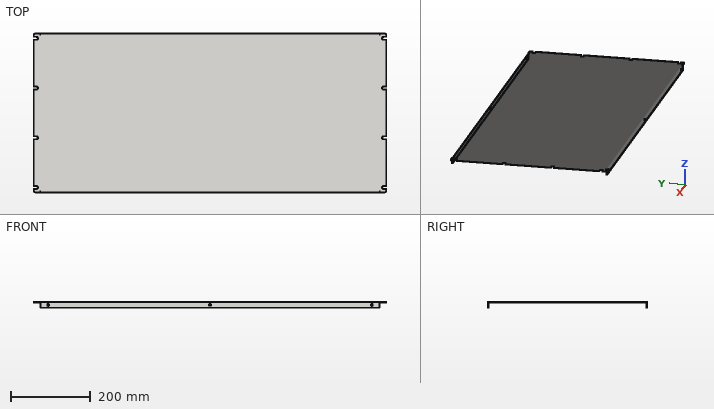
import cadquery as cq

length = 886.5
width = 400.0
height = 15.0
thickness = 1.5

flange_inset = 17.0
flange_length = length - 2 * flange_inset
flange_corner_radius = 3.0
bend_inner_radius = 1.5
bend_outer_radius = bend_inner_radius + thickness
panel_corner_radius = 5.0

slot_width = 7.0
slot_depth = 11.0
slot_pitch = 125.0
slots_per_side = 4

hole_diameter = 4.2
hole_end_offset = 19.5
hole_span = flange_length / 2 - hole_end_offset


def make_panel():
    """Flat sheet with rounded corners; its top face lies at Z = 0."""
    sheet = cq.Workplane("XY").box(length, width, thickness, centered=(True, True, False))
    return sheet.translate((0, 0, -thickness)).edges("|Z").fillet(panel_corner_radius)


def make_channel():
    """Sheet folded down along both long edges, with rounded bends and flange corners."""
    outer = cq.Workplane("XY").box(flange_length, width, height, centered=(True, True, False))
    outer = outer.translate((0, 0, -height))
    outer = outer.edges("|X and >Z").fillet(bend_outer_radius)
    outer = outer.edges("|Y and <Z").fillet(flange_corner_radius)
    inner = cq.Workplane("XY").box(
        length, width - 2 * thickness, height, centered=(True, True, False)
    )
    inner = inner.translate((0, 0, -height - thickness))
    inner = inner.edges("|X and >Z").fillet(bend_inner_radius)
    return outer.cut(inner)


def make_bend_clearance():
    """Two strips over the folded length, from the bend lines out to the long edges."""
    return cq.Workplane("XY").box(flange_length, width, 2 * height).cut(
        cq.Workplane("XY").box(flange_length, width - 2 * bend_outer_radius, 2 * height)
    )


def make_slots():
    """Round-ended cutters entering from both short edges."""
    first_y = -slot_pitch * (slots_per_side - 1) / 2
    centers = [
        (side * length / 2, first_y + row * slot_pitch)
        for side in (-1, 1)
        for row in range(slots_per_side)
    ]
    return (
        cq.Workplane("XY")
        .pushPoints(centers)
        .slot2D(2 * slot_depth, slot_width)
        .extrude(height, both=True)
    )


def make_flange_holes():
    """Cutters at the middle and near both ends of each flange, halfway down."""
    centers = [(x, -height / 2) for x in (-hole_span, 0, hole_span)]
    return (
        cq.Workplane("XZ")
        .pushPoints(centers)
        .circle(hole_diameter / 2)
        .extrude(width, both=True)
    )


result = (
    make_panel()
    .cut(make_bend_clearance())
    .union(make_channel())
    .cut(make_slots())
    .cut(make_flange_holes())
)